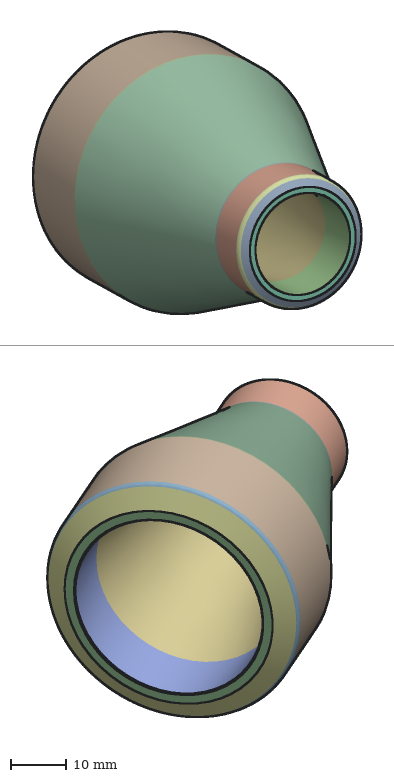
import cadquery as cq
import math

length = 64.0
body_radius = 48.3 / 2
neck_radius = 25.0 / 2
taper_start = 20.0
neck_start = 54.0

bevel_angle = math.radians(60)
mouth_bevel_length = 2.5
neck_bevel_length = 1.1
edge_round = 1.0

mouth_bore_radius = 35.7 / 2
outlet_radius = 19.0 / 2
mouth_bore_depth = 12.0
mouth_bore_chamfer = 0.2


def bevel_drop(bevel_length):
    """Radial height of an end bevel of the given axial length."""
    return bevel_length * math.tan(bevel_angle)


def revolve_about_x(points):
    """Solid of revolution about X from a profile of (axial, radial) points."""
    return cq.Workplane("XY").polyline(points).close().revolve(360, (0, 0, 0), (1, 0, 0))


def make_outer_body():
    neck_bevel_start = length - neck_bevel_length
    body = revolve_about_x([
        (0, 0),
        (0, body_radius - bevel_drop(mouth_bevel_length)),
        (mouth_bevel_length, body_radius),
        (taper_start, body_radius),
        (neck_start, neck_radius),
        (neck_bevel_start, neck_radius),
        (length, neck_radius - bevel_drop(neck_bevel_length)),
        (length, 0),
    ])
    rounded_edges = cq.Workplane("XY")
    for position in (mouth_bevel_length, taper_start, neck_start, neck_bevel_start):
        rounded_edges = rounded_edges.add(
            body.edges(cq.selectors.BoxSelector(
                (position - edge_round / 2, -body_radius, -body_radius),
                (position + edge_round / 2, body_radius, body_radius),
            )).vals()
        )
    return body.newObject(rounded_edges.vals()).fillet(edge_round)


def make_passage():
    return revolve_about_x([
        (0, 0),
        (0, mouth_bore_radius + mouth_bore_chamfer),
        (mouth_bore_chamfer, mouth_bore_radius),
        (mouth_bore_depth, mouth_bore_radius),
        (neck_start, outlet_radius),
        (length, outlet_radius),
        (length, 0),
    ])


result = make_outer_body().cut(make_passage())